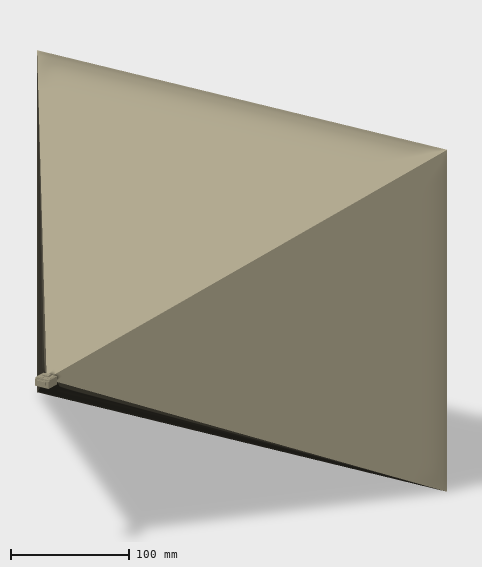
import cadquery as cq


VIEW_WIDTH = 417.0
VIEW_HEIGHT = 311.5
TOTAL_DEPTH = 312.5
CAMERA_REAR = -12.5
VIEW_DEPTH = TOTAL_DEPTH + CAMERA_REAR

HOUSING_WIDTH = 14.0
HOUSING_CENTER_X = 2.5
HOUSING_LEFT = HOUSING_CENTER_X - HOUSING_WIDTH / 2
HOUSING_BOTTOM = -3.5
HOUSING_TOP = 3.0
HOUSING_FRONT = 1.5
HOUSING_REAR = -11.3

NOTCH_LENGTH = 3.0
NOTCH_DEPTH = 0.5
NOTCH_TOP = 0.0

COVER_THICKNESS = 1.3
COVER_TOP = HOUSING_TOP + COVER_THICKNESS
COVER_REAR = -10.5

BLOCK_WIDTH = 6.0
BLOCK_LENGTH = 4.5
BLOCK_HEIGHT = 1.3
BLOCK_CENTER_X = 2.0
BLOCK_FRONT = -0.5

PAD_WIDTH = 5.5
PAD_LENGTH = 4.0
PAD_CENTER_X = -1.0
PAD_FRONT = -5.5
LOW_HEIGHT = 0.5

RIB_COUNT = 4
RIB_WIDTH = 3.0
RIB_LENGTH = 1.3
RIB_PITCH = 2.5
RIB_CENTER_X = 7.5
FIRST_RIB_FRONT = 0.5

SOCKET_WIDTH = 8.8
SOCKET_BOTTOM = -0.5
SOCKET_TOP = 2.5
SOCKET_SEAT_DEPTH = 1.5
SOCKET_FRONT = HOUSING_REAR + SOCKET_SEAT_DEPTH


def box_between(width, center_x, y_rear, y_front, z_bottom, z_top):
    """Box centred on center_x, spanning the given Y and Z ranges."""
    center = (center_x, (y_rear + y_front) / 2, (z_bottom + z_top) / 2)
    return cq.Workplane("XY").box(width, y_front - y_rear, z_top - z_bottom).translate(center)


def make_field_of_view():
    """Rectangular pyramid with its apex at the origin and its base at +Y."""
    half_width = VIEW_WIDTH / 2
    half_height = VIEW_HEIGHT / 2
    apex = cq.Vector(0, 0, 0)
    corners = [
        cq.Vector(-half_width, VIEW_DEPTH, -half_height),
        cq.Vector(half_width, VIEW_DEPTH, -half_height),
        cq.Vector(half_width, VIEW_DEPTH, half_height),
        cq.Vector(-half_width, VIEW_DEPTH, half_height),
    ]
    faces = [cq.Face.makeFromWires(cq.Wire.makePolygon(corners, close=True))]
    for index, corner in enumerate(corners):
        side = [corner, corners[index - 1], apex]
        faces.append(cq.Face.makeFromWires(cq.Wire.makePolygon(side, close=True)))
    return cq.Workplane(obj=cq.Solid.makeSolid(cq.Shell.makeShell(faces)))


def make_socket():
    """Plug socket that stands out behind the housing."""
    return box_between(
        SOCKET_WIDTH, HOUSING_CENTER_X,
        CAMERA_REAR, SOCKET_FRONT,
        SOCKET_BOTTOM, SOCKET_TOP,
    )


def make_housing(field_of_view, socket):
    """Housing with a side notch, a recess for the tip of the view and a pocket for the socket."""
    housing = box_between(
        HOUSING_WIDTH, HOUSING_CENTER_X,
        HOUSING_REAR, HOUSING_FRONT,
        HOUSING_BOTTOM, HOUSING_TOP,
    )
    notch = box_between(
        NOTCH_DEPTH, HOUSING_LEFT + NOTCH_DEPTH / 2,
        HOUSING_FRONT - NOTCH_LENGTH, HOUSING_FRONT,
        HOUSING_BOTTOM, NOTCH_TOP,
    )
    return housing.cut(notch).cut(field_of_view).cut(socket)


def make_cover():
    """Flat cover carrying a tall block, a low pad and a row of low ribs."""
    cover = box_between(
        HOUSING_WIDTH, HOUSING_CENTER_X,
        COVER_REAR, HOUSING_FRONT,
        HOUSING_TOP, COVER_TOP,
    )
    block = box_between(
        BLOCK_WIDTH, BLOCK_CENTER_X,
        BLOCK_FRONT - BLOCK_LENGTH, BLOCK_FRONT,
        COVER_TOP, COVER_TOP + BLOCK_HEIGHT,
    )
    pad = box_between(
        PAD_WIDTH, PAD_CENTER_X,
        PAD_FRONT - PAD_LENGTH, PAD_FRONT,
        COVER_TOP, COVER_TOP + LOW_HEIGHT,
    )
    cover = cover.union(block).union(pad)
    for index in range(RIB_COUNT):
        rib_front = FIRST_RIB_FRONT - index * RIB_PITCH
        rib = box_between(
            RIB_WIDTH, RIB_CENTER_X,
            rib_front - RIB_LENGTH, rib_front,
            COVER_TOP, COVER_TOP + LOW_HEIGHT,
        )
        cover = cover.union(rib)
    return cover


field_of_view = make_field_of_view()
socket = make_socket()
housing = make_housing(field_of_view, socket)
cover = make_cover()

result = cq.Compound.makeCompound([
    field_of_view.val(),
    housing.val(),
    cover.val(),
    socket.val(),
])